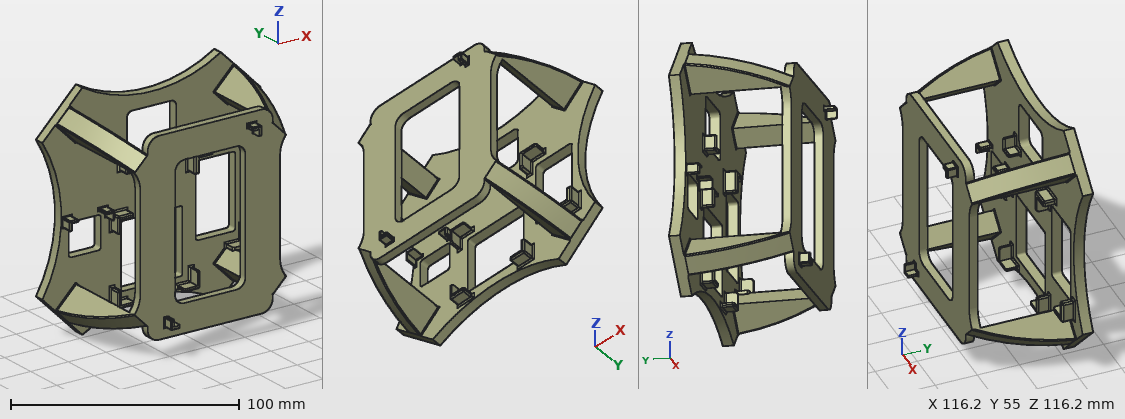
import cadquery as cq
import math


base_size = 116.2
base_thickness = 5.0
side_chord = 73.7
side_hollow = 10.1

front_face_height = 50.0
front_thickness = 4.1
front_width = 74.4
front_length = 96.0
front_corner_radius = 6.0
front_flare_radius = 14.0
opening_width = 37.4
opening_length = 67.4
opening_radius = 5.0

leg_width = 10.0
leg_tip_distance = 52.1
leg_root_distance = (base_size + side_chord) / 2 / math.sqrt(2)
leg_bulge = 2.3
leg_chamfer = 0.6
leg_foot = 0.41

base_corner_height = 6.0
front_corner_height = 5.0

windows = [
    (-13.0, 13.0, 18.8, 41.3, 2.5),
    (-16.3, 16.3, -42.4, -9.4, 1.0),
    (-44.0, -27.0, -20.3, -3.7, 1.5),
    (23.5, 44.5, -27.5, 9.9, 1.5),
]

upper_corner = (7.0, 1.6, 0.7, 0.7, 0.7, "x")
lower_corner = (8.5, 1.6, 0.7, 0.7, 0, "")
right_corner = (10.0, 2.3, 0.7, 0.7, 0, "")
left_corner = (4.9, 1.0, 0.6, 0.3, 0, "")
front_corner = (4.9, 1.5, 0.5, 0.5, 0, "xy")

base_corners = [
    (-17.5, 14.6, 1, 1, upper_corner),
    (-21.8, -4.2, 1, -1, lower_corner),
    (-21.8, -47.6, 1, 1, lower_corner),
    (21.8, -47.6, -1, 1, lower_corner),
    (18.7, 16.4, 1, -1, right_corner),
    (49.3, -34.7, -1, 1, right_corner),
    (-47.5, -0.6, 1, -1, left_corner),
    (-23.5, -0.6, -1, -1, left_corner),
]

front_corners = [
    (24.2, 42.8, -1, -1, front_corner),
    (-24.2, -42.8, 1, 1, front_corner),
]


def make_base_plate():
    edge = base_size / 2
    half_chord = side_chord / 2
    hollow = edge - side_hollow
    plate = (
        cq.Workplane("XY")
        .moveTo(-half_chord, edge)
        .threePointArc((0, hollow), (half_chord, edge))
        .lineTo(edge, half_chord)
        .threePointArc((hollow, 0), (edge, -half_chord))
        .lineTo(half_chord, -edge)
        .threePointArc((0, -hollow), (-half_chord, -edge))
        .lineTo(-edge, -half_chord)
        .threePointArc((-hollow, 0), (-edge, half_chord))
        .close()
        .extrude(base_thickness)
    )
    for left, right, bottom, top, radius in windows:
        window = (
            cq.Workplane("XY")
            .center((left + right) / 2, (bottom + top) / 2)
            .rect(right - left, top - bottom)
            .extrude(base_thickness)
            .edges("|Z")
            .fillet(radius)
        )
        plate = plate.cut(window)
    return plate


def make_front_plate():
    far = (leg_tip_distance + leg_width / 2) / math.sqrt(2)
    near = (leg_tip_distance - leg_width / 2) / math.sqrt(2)
    half_width = front_width / 2
    half_length = front_length / 2
    flare = far - half_width
    flare_rise = math.sqrt(flare * (2 * front_flare_radius - flare))
    quarter = (
        cq.Workplane("XY")
        .lineTo(half_width, 0)
        .lineTo(half_width, near - flare_rise)
        .radiusArc((far, near), front_flare_radius)
        .lineTo(near, far)
        .lineTo(near, half_length - front_corner_radius)
        .radiusArc((near - front_corner_radius, half_length), -front_corner_radius)
        .lineTo(0, half_length)
        .close()
        .extrude(front_thickness)
    )
    half = quarter.union(quarter.mirror("YZ"))
    plate = half.union(half.mirror("XZ")).clean()
    opening = (
        cq.Workplane("XY")
        .rect(opening_width, opening_length)
        .extrude(front_thickness)
        .edges("|Z")
        .fillet(opening_radius)
    )
    return plate.cut(opening).translate((0, 0, front_face_height - front_thickness))


def make_leg():
    leg_height = front_face_height - base_thickness
    leg_depth = leg_root_distance - leg_tip_distance
    bar = (
        cq.Workplane("XZ")
        .moveTo(0, base_thickness)
        .lineTo(leg_root_distance, base_thickness)
        .sagittaArc((leg_tip_distance, front_face_height), -leg_bulge)
        .lineTo(0, front_face_height)
        .close()
        .extrude(leg_width / 2, both=True)
        .edges("%CIRCLE")
        .chamfer(leg_chamfer)
    )
    keep = (
        cq.Workplane("XY")
        .box(leg_depth, leg_width, leg_height, centered=(False, True, False))
        .translate((leg_tip_distance, 0, base_thickness))
    )
    foot = (
        cq.Workplane("XY", origin=(leg_root_distance, 0, base_thickness))
        .rect(2 * (leg_depth + leg_foot), leg_width + 2 * leg_foot)
        .extrude(leg_foot, taper=45)
    )
    foot = foot.intersect(cq.Workplane("XY").box(2 * leg_root_distance, base_size, base_size))
    return bar.intersect(keep).union(foot)


def make_legs():
    legs = make_leg().rotate((0, 0, 0), (0, 0, 1), 45)
    legs = legs.union(legs.mirror("YZ"))
    return legs.union(legs.mirror("XZ"))


def make_box(x_length, y_length, height):
    return cq.Workplane("XY").box(x_length, y_length, height, centered=False)


def make_corner(x, y, x_direction, y_direction, size, floor, height):
    arm, wall, chamfer, foot, inner_chamfer, plain_ends = size
    block = make_box(arm, arm, height).edges("|Z or >Z").chamfer(chamfer)
    inside = make_box(arm, arm, height).translate((wall, wall, 0))
    if inner_chamfer:
        flare = (
            cq.Workplane("XY", origin=(wall + arm, wall + arm, height))
            .rect(2 * (arm + inner_chamfer), 2 * (arm + inner_chamfer))
            .extrude(-inner_chamfer, taper=45)
        )
        inside = inside.union(flare)
    skirt = (
        cq.Workplane("XY")
        .polyline([(0, 0), (arm, 0), (arm, wall), (wall, wall), (wall, arm), (0, arm)])
        .close()
        .offset2D(foot, "intersection")
        .extrude(foot, taper=45)
    )
    x_end = arm if "x" in plain_ends else arm + foot
    y_end = arm if "y" in plain_ends else arm + foot
    skirt = skirt.intersect(make_box(x_end + foot, y_end + foot, foot).translate((-foot, -foot, 0)))
    corner = block.cut(inside).union(skirt)
    if x_direction < 0:
        corner = corner.mirror("YZ")
    if y_direction < 0:
        corner = corner.mirror("XZ")
    return corner.translate((x, y, floor))


body = make_base_plate().union(make_front_plate()).union(make_legs())
for placing in base_corners:
    body = body.union(make_corner(*placing, base_thickness, base_corner_height))
for placing in front_corners:
    body = body.union(make_corner(*placing, front_face_height, front_corner_height))

result = body.rotate((0, 0, 0), (1, 0, 0), 90)